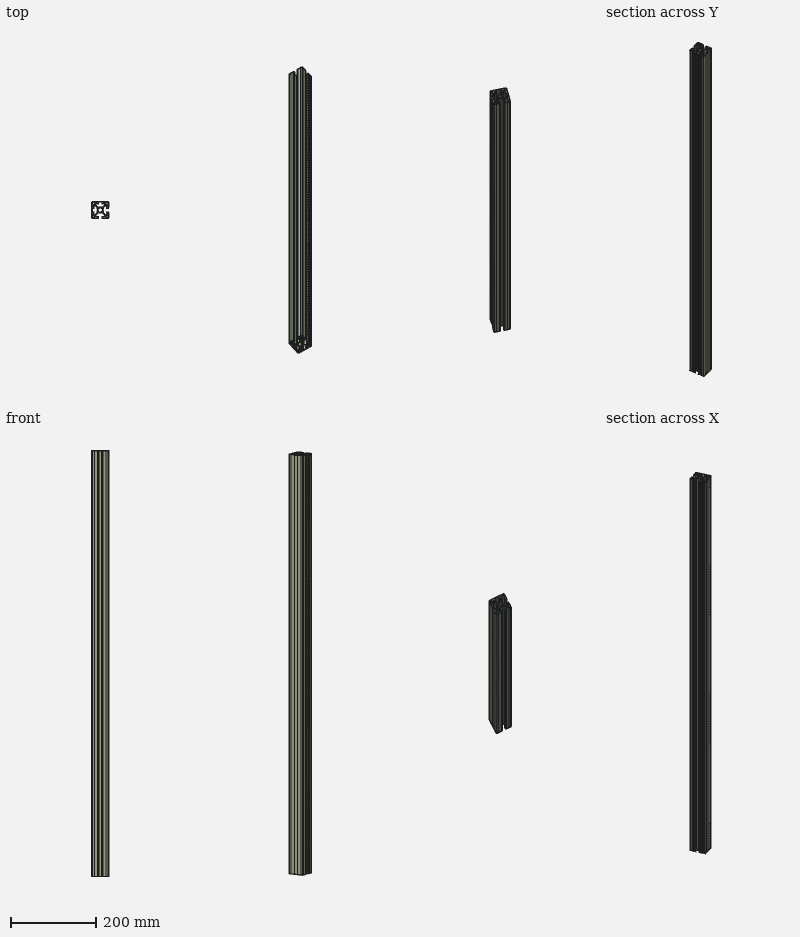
import cadquery as cq

side = 40.0
length = 1000.0
corner_radius = 3.0

slot_width = 8.2
mouth_step_width = 14.0
mouth_step_depth = 0.4
lip_thickness = 5.3
lip_root_thickness = 4.0
lip_ridge_width = 14.0
lip_ridge_slope = 0.3
cavity_width = 20.2
cavity_chamfer = 4.2
slot_depth = 12.8
closing_wall = 1.5

floor_groove_width = 5.6
floor_groove_depth = 0.5

chamber_wall = 1.95
chamber_size = 4.5
chamber_chamfer = 0.5

core_bore = 10.2

half = side / 2
slot_floor = half - slot_depth
lip_inner = half - lip_thickness
lip_root = half - lip_root_thickness
chamber_outer = half - chamber_wall
chamber_inner = chamber_outer - chamber_size


def prism(points):
    """Full-length prism over a closed polygon."""
    return cq.Workplane("XY").polyline(points).close().extrude(length)


def band(width, near, far):
    """Full-length bar on the +X side, from near to far along X and centred on Y."""
    return prism([(near, -width / 2), (far, -width / 2), (far, width / 2), (near, width / 2)])


def slot(is_open):
    """Everything removed for the slot on the +X side."""
    wide = cavity_width / 2
    narrow = wide - cavity_chamfer
    ridge = lip_ridge_width / 2
    cavity = prism(
        [
            (slot_floor, -narrow),
            (slot_floor + cavity_chamfer, -wide),
            (lip_root, -wide),
            (lip_root, -ridge - lip_ridge_slope),
            (lip_inner, -ridge),
            (lip_inner, ridge),
            (lip_root, ridge + lip_ridge_slope),
            (lip_root, wide),
            (slot_floor + cavity_chamfer, wide),
            (slot_floor, narrow),
        ]
    )
    channel_end = half if is_open else half - closing_wall
    removed = cavity.union(band(slot_width, slot_floor, channel_end))
    removed = removed.union(band(floor_groove_width, slot_floor - floor_groove_depth, lip_inner))
    if is_open:
        removed = removed.union(band(mouth_step_width, half - mouth_step_depth, half))
    return removed


def corner_chamber():
    """Hollow chamber in the +X +Y corner, bevelled on the side facing the core."""
    bevel = chamber_inner + chamber_chamfer
    return prism(
        [
            (bevel, chamber_inner),
            (chamber_outer, chamber_inner),
            (chamber_outer, chamber_outer),
            (chamber_inner, chamber_outer),
            (chamber_inner, bevel),
        ]
    )


def turned(shape, angle):
    """The shape turned about the bar's axis."""
    return shape.rotate((0, 0, 0), (0, 0, 1), angle)


result = cq.Workplane("XY").rect(side, side).extrude(length).edges("|Z").fillet(corner_radius)
for angle, is_open in ((0, True), (90, False), (180, False), (270, True)):
    result = result.cut(turned(slot(is_open), angle))
    result = result.cut(turned(corner_chamber(), angle))
result = result.cut(cq.Workplane("XY").circle(core_bore / 2).extrude(length))